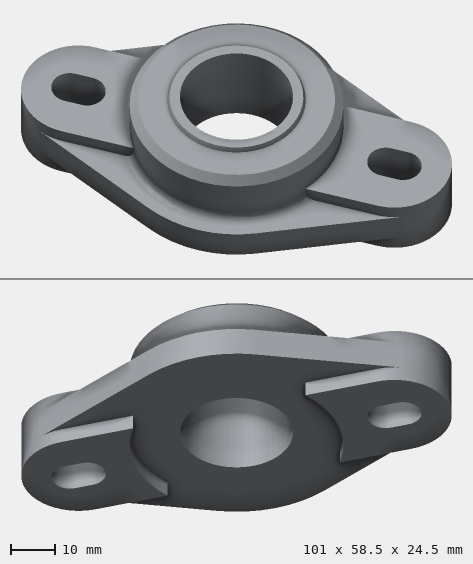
import cadquery as cq
import math

overall_length = 101.0
lug_radius = 13.0
lug_height = 14.0
overall_width = 58.5
flange_radius = overall_width / 2
flange_bottom = 3.6
flange_top = 10.7
slot_length = 12.5
slot_width = 8.4

ring_radius = 24.2
ring_top = 23.4
ring_chamfer_width = 1.9
ring_chamfer_height = 1.8
ring_fillet = 1.8

bushing_radius = 15.7
bushing_bore_radius = 12.8
bushing_top = 24.5
bushing_chamfer_width = 0.5

lug_offset = overall_length / 2 - lug_radius


def cylinder(radius, bottom, top):
    return cq.Workplane("XY").workplane(offset=bottom).circle(radius).extrude(top - bottom)


def make_flange():
    """Plate bounded by a large middle arc and straight sides tangent to both lug ends."""
    tangent_sine = (flange_radius - lug_radius) / lug_offset
    tangent_cosine = math.sqrt(1 - tangent_sine**2)
    middle_x = flange_radius * tangent_sine
    middle_y = flange_radius * tangent_cosine
    end_x = lug_offset + lug_radius * tangent_sine
    end_y = lug_radius * tangent_cosine
    return (
        cq.Workplane("XY")
        .workplane(offset=flange_bottom)
        .moveTo(-middle_x, middle_y)
        .threePointArc((0, flange_radius), (middle_x, middle_y))
        .lineTo(end_x, end_y)
        .threePointArc((overall_length / 2, 0), (end_x, -end_y))
        .lineTo(middle_x, -middle_y)
        .threePointArc((0, -flange_radius), (-middle_x, -middle_y))
        .lineTo(-end_x, -end_y)
        .threePointArc((-overall_length / 2, 0), (-end_x, end_y))
        .close()
        .extrude(flange_top - flange_bottom)
    )


def make_lugs():
    """Two round-ended lugs whose inner ends follow the ring's outer wall."""
    bar = cq.Workplane("XY").slot2D(overall_length, 2 * lug_radius).extrude(lug_height)
    return bar.cut(cylinder(ring_radius, 0, lug_height))


def make_ring():
    """Chamfered bearing ring with a concave fillet down to the flange."""
    fillet_center_x = ring_radius + ring_fillet
    fillet_center_z = flange_top + ring_fillet
    fillet_reach = ring_fillet * math.sqrt(0.5)
    return (
        cq.Workplane("XZ")
        .moveTo(0, flange_bottom)
        .lineTo(fillet_center_x, flange_bottom)
        .lineTo(fillet_center_x, flange_top)
        .threePointArc(
            (fillet_center_x - fillet_reach, fillet_center_z - fillet_reach),
            (ring_radius, fillet_center_z),
        )
        .lineTo(ring_radius, ring_top - ring_chamfer_height)
        .lineTo(ring_radius - ring_chamfer_width, ring_top)
        .lineTo(0, ring_top)
        .close()
        .revolve(360, (0, 0, 0), (0, 1, 0))
    )


def make_housing():
    """Flanged housing with mounting slots and a bushing seat."""
    body = make_flange().union(make_lugs()).union(make_ring())
    slots = (
        cq.Workplane("XY")
        .pushPoints([(-lug_offset, 0), (lug_offset, 0)])
        .slot2D(slot_length, slot_width)
        .extrude(lug_height)
    )
    return body.cut(slots).cut(cylinder(bushing_radius, flange_bottom, ring_top))


def make_bushing():
    """Sleeve standing slightly above the ring, with a chamfer over its exposed height."""
    return (
        cq.Workplane("XZ")
        .moveTo(bushing_bore_radius, flange_bottom)
        .lineTo(bushing_radius, flange_bottom)
        .lineTo(bushing_radius, ring_top)
        .lineTo(bushing_radius - bushing_chamfer_width, bushing_top)
        .lineTo(bushing_bore_radius, bushing_top)
        .close()
        .revolve(360, (0, 0, 0), (0, 1, 0))
    )


housing = make_housing()
bushing = make_bushing()
result = cq.Compound.makeCompound([housing.val(), bushing.val()])